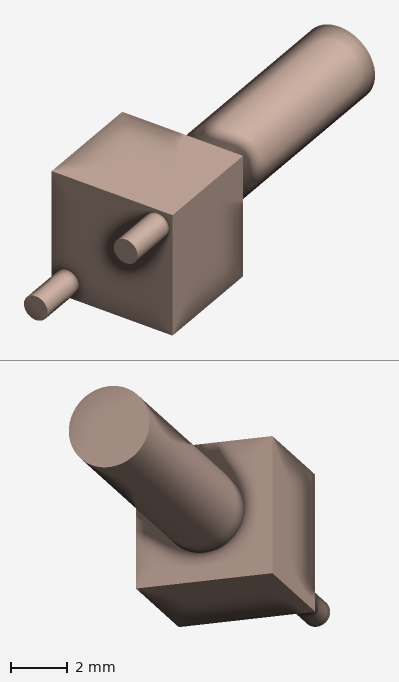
import cadquery as cq

body_width = 5.08
body_length = 4.5

shaft_diameter = 3.0
shaft_length = 10.0

pin_diameter = 1.0
pin_length = 2.0
pin_inset = 0.65
pin_offset = body_width / 2 - pin_inset

body_front_y = 0.0
body_rear_y = body_front_y + body_length


def make_body():
    """Square block running along Y from the front face to the rear face."""
    return cq.Workplane("XY").box(body_width, body_length, body_width).translate(
        (0, (body_front_y + body_rear_y) / 2, 0)
    )


def cylinder_along_y(diameter, length, x, start_y, z):
    """Cylinder that starts at start_y and extends towards +Y."""
    start = cq.Vector(x, start_y, z)
    return cq.Solid.makeCylinder(diameter / 2, length, start, cq.Vector(0, 1, 0))


def add_shaft(part):
    """Round shaft on the centre of the rear face."""
    return part.union(cylinder_along_y(shaft_diameter, shaft_length, 0, body_rear_y, 0))


def add_pins(part):
    """Two pins at diagonally opposite corners of the front face."""
    for side in (-1, 1):
        offset = side * pin_offset
        pin = cylinder_along_y(pin_diameter, pin_length, offset, body_front_y - pin_length, offset)
        part = part.union(pin)
    return part


result = add_pins(add_shaft(make_body()))